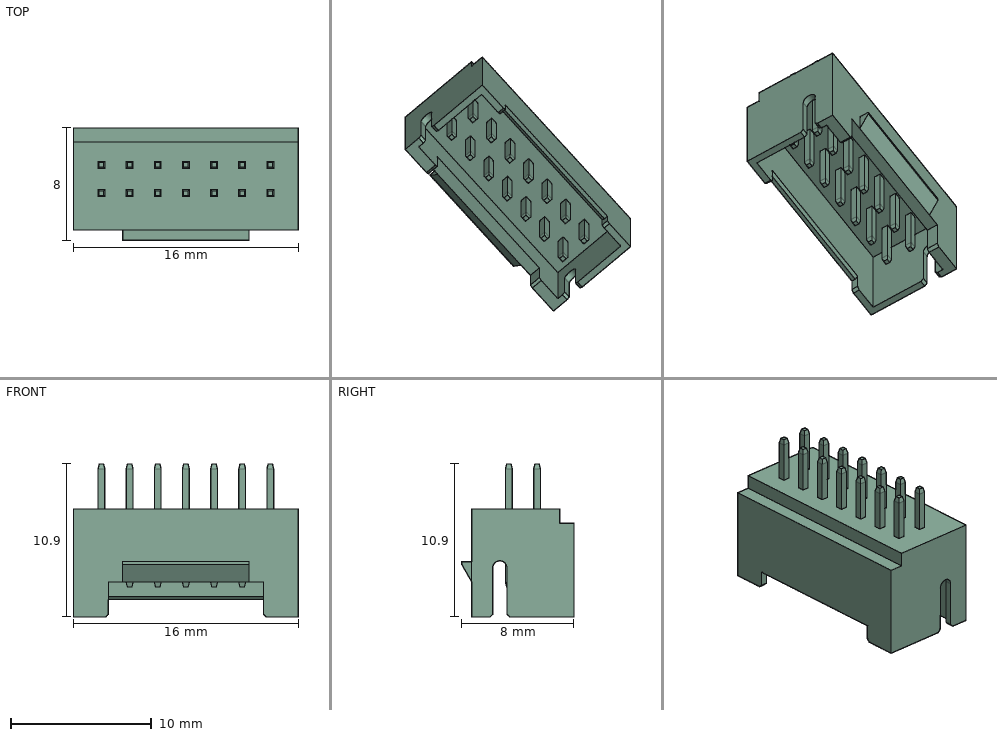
import cadquery as cq

LENGTH = 16.0
DEPTH = 7.28
HEIGHT = 7.7
WALL = 0.5
FRONT_WALL = 0.85
STEP = 1.0
EDGE_CHAMFER = 0.2

CAVITY_HEIGHT = HEIGHT - STEP - WALL

WINDOW_WIDTH = 11.0
FRONT_WINDOW_HEIGHT = 2.5
REAR_WINDOW_HEIGHT = 1.25
SLOT_WIDTH = 1.0
SLOT_HEIGHT = 4.0
SLOT_Y = 2.0

LATCH_WIDTH = 9.0
LATCH_PROJECTION = 0.72
LATCH_TOP = 3.95
LATCH_LIP = 0.2

PIN_COLUMNS = 7
PIN_ROWS = 2
PITCH = 2.0
PIN_SIZE = 0.5
PIN_TIP_SIZE = 0.32
PIN_TAPER = 0.35
PIN_BOTTOM = 2.15
PIN_TOP = HEIGHT + 3.2
FIRST_ROW_Y = 2.64


def box(width, depth, height, y, z):
    """Box centred on X that starts at the given Y and Z."""
    return cq.Workplane("XY").box(width, depth, height, centered=(True, False, False)).translate((0, y, z))


def mouth_flare(plane, centre, width, length):
    """Prism that chamfers both bottom corners of an opening."""
    half = width / 2
    return (
        cq.Workplane(plane)
        .moveTo(centre - half - EDGE_CHAMFER, 0)
        .lineTo(centre + half + EDGE_CHAMFER, 0)
        .lineTo(centre + half, EDGE_CHAMFER)
        .lineTo(centre - half, EDGE_CHAMFER)
        .close()
        .extrude(length)
    )


def make_shell():
    shell = box(LENGTH, DEPTH, HEIGHT, 0, 0)
    shell = shell.cut(box(LENGTH, STEP, STEP, DEPTH - STEP, HEIGHT - STEP))
    cavity_depth = DEPTH - FRONT_WALL - WALL
    return shell.cut(box(LENGTH - 2 * WALL, cavity_depth, CAVITY_HEIGHT, FRONT_WALL, 0))


def make_windows():
    """Front and rear wall openings; the rear one has a chamfered inner top edge."""
    front = box(WINDOW_WIDTH, FRONT_WALL, FRONT_WINDOW_HEIGHT, 0, 0)
    rear_inner_y = DEPTH - WALL
    rear = box(WINDOW_WIDTH, WALL, REAR_WINDOW_HEIGHT, rear_inner_y, 0)
    rear_bevel = (
        cq.Workplane("YZ")
        .moveTo(rear_inner_y, REAR_WINDOW_HEIGHT)
        .lineTo(rear_inner_y + EDGE_CHAMFER, REAR_WINDOW_HEIGHT)
        .lineTo(rear_inner_y, REAR_WINDOW_HEIGHT + EDGE_CHAMFER)
        .close()
        .extrude(WINDOW_WIDTH / 2, both=True)
    )
    flare = mouth_flare("XZ", 0, WINDOW_WIDTH, -DEPTH)
    return front.union(rear).union(rear_bevel).union(flare)


def make_side_slots():
    """Round-topped slot through both end walls."""
    radius = SLOT_WIDTH / 2
    spring_z = SLOT_HEIGHT - radius
    slot = (
        cq.Workplane("YZ")
        .moveTo(SLOT_Y - radius, 0)
        .lineTo(SLOT_Y + radius, 0)
        .lineTo(SLOT_Y + radius, spring_z)
        .threePointArc((SLOT_Y, SLOT_HEIGHT), (SLOT_Y - radius, spring_z))
        .close()
        .extrude(LENGTH)
    )
    flare = mouth_flare("YZ", SLOT_Y, SLOT_WIDTH, LENGTH)
    return slot.union(flare).translate((-LENGTH / 2, 0, 0))


def make_latch():
    return (
        cq.Workplane("YZ")
        .moveTo(0, FRONT_WINDOW_HEIGHT)
        .lineTo(-LATCH_PROJECTION, LATCH_TOP - LATCH_LIP)
        .lineTo(-LATCH_PROJECTION, LATCH_TOP)
        .lineTo(0, LATCH_TOP)
        .close()
        .extrude(LATCH_WIDTH / 2, both=True)
    )


def make_pin_tip():
    """Tapered pin end, wide face at Z = 0 and pointing up."""
    return (
        cq.Workplane("XY")
        .rect(PIN_SIZE, PIN_SIZE)
        .workplane(offset=PIN_TAPER)
        .rect(PIN_TIP_SIZE, PIN_TIP_SIZE)
        .loft(ruled=True)
    )


def make_pin():
    """Square pin on the Z axis with both ends tapered."""
    shank_bottom = PIN_BOTTOM + PIN_TAPER
    shank_top = PIN_TOP - PIN_TAPER
    shank = box(PIN_SIZE, PIN_SIZE, shank_top - shank_bottom, -PIN_SIZE / 2, shank_bottom)
    tip = make_pin_tip()
    upper_tip = tip.translate((0, 0, shank_top))
    lower_tip = tip.mirror("XY").translate((0, 0, shank_bottom))
    return shank.union(upper_tip).union(lower_tip)


result = make_shell().cut(make_windows()).cut(make_side_slots()).union(make_latch())

pin = make_pin()
for row in range(PIN_ROWS):
    for column in range(PIN_COLUMNS):
        pin_x = (column - (PIN_COLUMNS - 1) / 2) * PITCH
        pin_y = FIRST_ROW_Y + row * PITCH
        result = result.union(pin.translate((pin_x, pin_y, 0)))